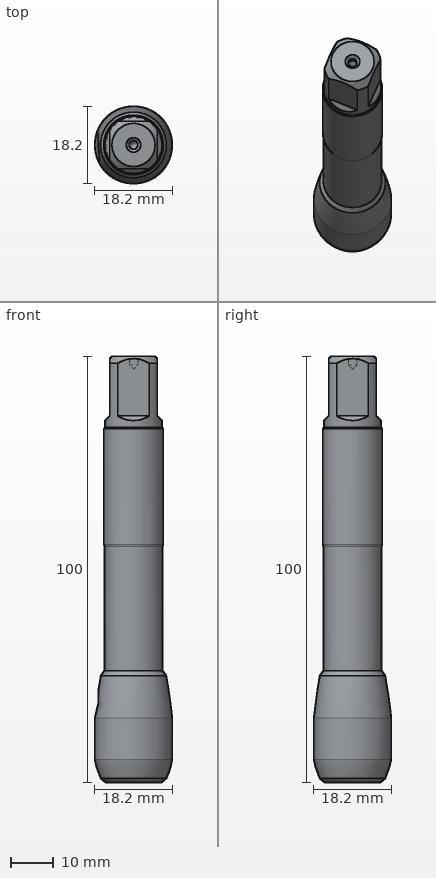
import cadquery as cq

total_length = 100.0

head_diameter = 18.2
head_end_diameter = 15.4
nose_face_diameter = 13.0
nose_chamfer_top = 1.0
head_cylinder_bottom = 5.5
head_cylinder_top = 15.2
head_shoulder_bottom = 25.1
head_top = 26.3
lower_flank_bulge = 0.2
upper_flank_bulge = 0.1

shank_diameter = 13.7
collar_diameter = 14.0
collar_bottom = 55.4
collar_top = 83.3
collar_bottom_chamfer_height = 0.5
collar_top_chamfer_height = 0.3

drive_diameter = 13.4
drive_width = 11.2
drive_flat_bottom = 86.0
drive_top_face_diameter = 10.1

center_hole_diameter = 2.0
center_hole_mouth_diameter = 3.4
center_hole_depth = 2.0


def make_head():
    """Solid of revolution with bowed flanks above and below a cylindrical band."""
    radius = head_diameter / 2
    end_radius = head_end_diameter / 2
    mid_radius = (radius + end_radius) / 2
    lower_mid = (mid_radius + lower_flank_bulge, (nose_chamfer_top + head_cylinder_bottom) / 2)
    upper_mid = (mid_radius + upper_flank_bulge, (head_cylinder_top + head_shoulder_bottom) / 2)
    return (
        cq.Workplane("XZ")
        .moveTo(0, 0)
        .lineTo(nose_face_diameter / 2, 0)
        .lineTo(end_radius, nose_chamfer_top)
        .threePointArc(lower_mid, (radius, head_cylinder_bottom))
        .lineTo(radius, head_cylinder_top)
        .threePointArc(upper_mid, (end_radius, head_shoulder_bottom))
        .lineTo(shank_diameter / 2, head_top)
        .lineTo(0, head_top)
        .close()
        .revolve(360, (0, 0, 0), (0, 1, 0))
    )


def make_shank_blank():
    """Round shank with its collar and the chamfered cylinder for the drive."""
    shank_radius = shank_diameter / 2
    collar_radius = collar_diameter / 2
    drive_radius = drive_diameter / 2
    top_face_radius = drive_top_face_diameter / 2
    top_chamfer = drive_radius - top_face_radius
    outline = [
        (0, head_top),
        (shank_radius, head_top),
        (shank_radius, collar_bottom),
        (collar_radius, collar_bottom + collar_bottom_chamfer_height),
        (collar_radius, collar_top - collar_top_chamfer_height),
        (drive_radius, collar_top),
        (drive_radius, total_length - top_chamfer),
        (top_face_radius, total_length),
        (0, total_length),
    ]
    return cq.Workplane("XZ").polyline(outline).close().revolve(360, (0, 0, 0), (0, 1, 0))


def make_flat_cutter():
    """Prism that cuts one drive flat and its 45 degree run-out on the -Y side."""
    flat_offset = drive_width / 2
    cutter_offset = collar_diameter / 2
    runout_drop = cutter_offset - flat_offset
    return (
        cq.Workplane("YZ")
        .moveTo(-flat_offset, total_length)
        .lineTo(-flat_offset, drive_flat_bottom)
        .lineTo(-cutter_offset, drive_flat_bottom - runout_drop)
        .lineTo(-cutter_offset, total_length)
        .close()
        .extrude(cutter_offset, both=True)
    )


def make_center_hole():
    """Drilled hole with 45 degree cones at its mouth and at its tip."""
    hole_radius = center_hole_diameter / 2
    mouth_radius = center_hole_mouth_diameter / 2
    mouth_bottom = total_length - (mouth_radius - hole_radius)
    hole_bottom = total_length - center_hole_depth
    outline = [
        (0, total_length),
        (mouth_radius, total_length),
        (hole_radius, mouth_bottom),
        (hole_radius, hole_bottom),
        (0, hole_bottom - hole_radius),
    ]
    return cq.Workplane("XZ").polyline(outline).close().revolve(360, (0, 0, 0), (0, 1, 0))


def make_shank():
    """Shank with four drive flats and the centre hole."""
    flat_count = 4
    shank = make_shank_blank()
    for index in range(flat_count):
        angle = index * 360 / flat_count
        shank = shank.cut(make_flat_cutter().rotate((0, 0, 0), (0, 0, 1), angle))
    return shank.cut(make_center_hole())


head = make_head()
shank = make_shank()

result = cq.Compound.makeCompound([head.val(), shank.val()])